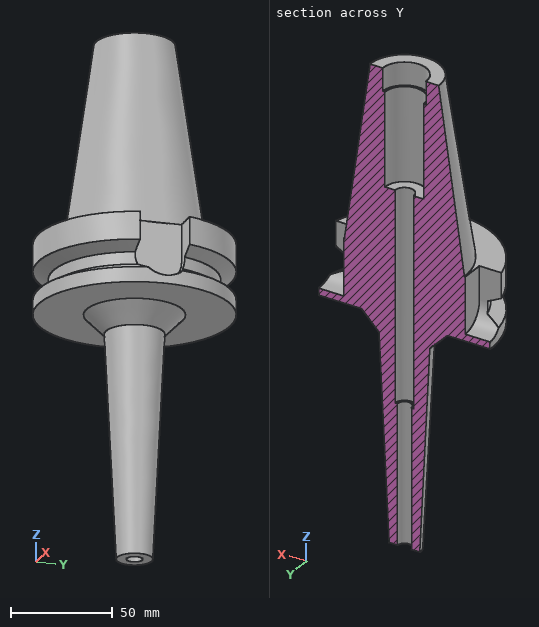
import cadquery as cq

total_height = 266.8
gauge_height = 165.1
flange_top = 163.5
groove_upper_edge = 149.1
groove_floor_top = 145.1
groove_floor_bottom = 138.7
groove_lower_edge = 134.7
flange_bottom = 127.0
neck_height = 116.9

flange_radius = 100.0 / 2
groove_radius = 42.5
gauge_radius = 35.0
shank_taper = 7 / 24
shank_top_radius = gauge_radius - (total_height - gauge_height) * shank_taper / 2
neck_radius = 15.0
collar_radius = neck_radius + (flange_bottom - neck_height)
tip_radius = 9.0

entry_radius = 12.5
entry_depth = 13.0
thread_radius = 11.2
thread_depth = 66.7
channel_radius = 5.3
channel_depth = 186.8
tip_hole_radius = 4.0
bore_steps = [
    (entry_radius, entry_depth),
    (thread_radius, thread_depth),
    (channel_radius, channel_depth),
    (tip_hole_radius, total_height),
]

keyway_width = 25.5
keyway_floor_x = 35.5
keyway_bottom = 131.3


def make_body():
    """Revolve the taper shank, grooved flange and nose about Z."""
    return (
        cq.Workplane("XZ")
        .moveTo(0, 0)
        .lineTo(tip_radius, 0)
        .lineTo(neck_radius, neck_height)
        .lineTo(collar_radius, flange_bottom)
        .lineTo(flange_radius, flange_bottom)
        .lineTo(flange_radius, groove_lower_edge)
        .lineTo(groove_radius, groove_floor_bottom)
        .lineTo(groove_radius, groove_floor_top)
        .lineTo(flange_radius, groove_upper_edge)
        .lineTo(flange_radius, flange_top)
        .lineTo(gauge_radius, flange_top)
        .lineTo(gauge_radius, gauge_height)
        .lineTo(shank_top_radius, total_height)
        .lineTo(0, total_height)
        .close()
        .revolve(360, (0, 0, 0), (0, 1, 0))
    )


def make_bore_step(radius, depth):
    """Cylinder reaching down from the top of the shank."""
    return cq.Workplane("XY").workplane(offset=total_height).circle(radius).extrude(-depth)


def make_keyway(side):
    """Round-bottomed slot, open at the top, on the +X or -X side."""
    half_width = keyway_width / 2
    arc_center = keyway_bottom + half_width
    return (
        cq.Workplane("YZ")
        .workplane(offset=side * keyway_floor_x)
        .moveTo(-half_width, flange_top)
        .lineTo(-half_width, arc_center)
        .threePointArc((0, keyway_bottom), (half_width, arc_center))
        .lineTo(half_width, flange_top)
        .close()
        .extrude(side * (flange_radius - keyway_floor_x))
    )


result = make_body()
for step_radius, step_depth in bore_steps:
    result = result.cut(make_bore_step(step_radius, step_depth))
for keyway_side in (-1, 1):
    result = result.cut(make_keyway(keyway_side))